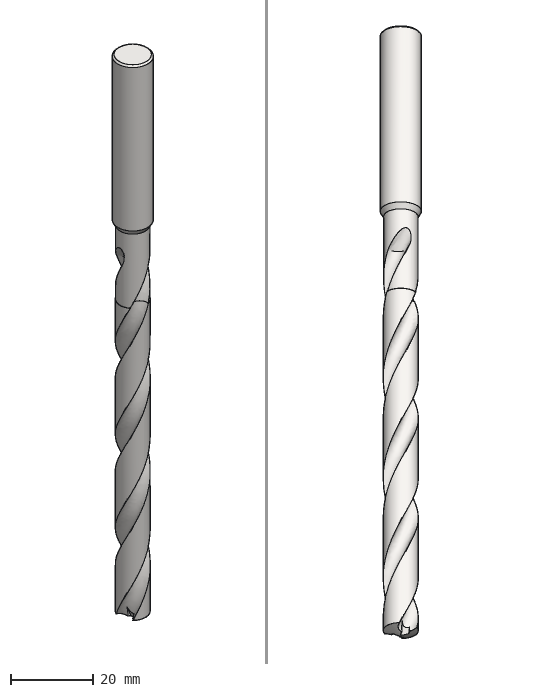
import cadquery as cq
import math

TOTAL_LENGTH = 165.0
JOINT_Z = 93.2
SHANK_START_Z = 115.0

SHANK_RADIUS = 10.0 / 2
HEAD_RADIUS = 8.5 / 2
NECK_RADIUS = 8.4 / 2
SHANK_TOP_CHAMFER = 0.5
SHOULDER_HEIGHT = 1.5

POINT_ANGLE = 140.0
POINT_HEIGHT = HEAD_RADIUS / math.tan(math.radians(POINT_ANGLE / 2))

FLUTE_COUNT = 2
FLUTE_LEAD = 54.8
FLUTE_FRONT_Z = 81.7
FLUTE_RADIUS = 2.5
FLUTE_CENTRE_RADIUS = 3.8
FLUTE_START_Z = -1.6
CUT_OVERLAP = 1.6
FLUTE_END_Z = 104.8
RUNOUT_HEIGHT = 8.2
RUNOUT_TRAVEL = 5.1
RUNOUT_LIFT = 3.3

GASH_X_MIN = -0.2
GASH_X_MAX = 1.8
GASH_HEIGHT = 4.0
GASH_INNER_Y = -0.3
GASH_OUTER_Y = -2.0


def flute_angle(z, index):
    """Angle in degrees about the Z axis of a flute's centre at height z."""
    turn = 360.0 * (z - FLUTE_FRONT_Z) / FLUTE_LEAD
    return -90.0 + turn + 360.0 * index / FLUTE_COUNT


def make_helical_cutter(index, start_z, end_z):
    """Full-depth length of one flute between two heights."""
    length = end_z - start_z
    return (
        cq.Workplane("XY")
        .center(FLUTE_CENTRE_RADIUS, 0)
        .circle(FLUTE_RADIUS)
        .center(-FLUTE_CENTRE_RADIUS, 0)
        .twistExtrude(length, 360.0 * length / FLUTE_LEAD)
        .rotate((0, 0, 0), (0, 0, 1), flute_angle(start_z, index))
        .translate((0, 0, start_z))
    )


def make_runout_cutter(index):
    """Straight exit of one flute, leaning along the turn while lifting outward."""
    return (
        cq.Workplane("XY")
        .center(FLUTE_CENTRE_RADIUS, 0)
        .circle(FLUTE_RADIUS)
        .workplane(offset=RUNOUT_HEIGHT)
        .center(RUNOUT_LIFT, RUNOUT_TRAVEL)
        .circle(FLUTE_RADIUS)
        .loft(ruled=True)
        .rotate((0, 0, 0), (0, 0, 1), flute_angle(FLUTE_END_Z, index))
        .translate((0, 0, FLUTE_END_Z))
    )


def make_gash_cutter(index):
    """Wedge under the flute floor, with a face that slopes outward as it rises."""
    profile = [
        (GASH_INNER_Y, 0),
        (GASH_OUTER_Y, GASH_HEIGHT),
        (-HEAD_RADIUS, GASH_HEIGHT),
        (-HEAD_RADIUS, 0),
    ]
    return (
        cq.Workplane("YZ", origin=(GASH_X_MIN, 0, 0))
        .polyline(profile)
        .close()
        .extrude(GASH_X_MAX - GASH_X_MIN)
        .rotate((0, 0, 0), (0, 0, 1), 360.0 * index / FLUTE_COUNT)
    )


def make_cutting_head():
    """Fluted drill head with a conical point."""
    profile = [
        (0, 0),
        (HEAD_RADIUS, POINT_HEIGHT),
        (HEAD_RADIUS, JOINT_Z),
        (0, JOINT_Z),
    ]
    blank = cq.Workplane("XZ").polyline(profile).close().revolve(360, (0, 0), (0, 1))
    for index in range(FLUTE_COUNT):
        blank = blank.cut(make_helical_cutter(index, FLUTE_START_Z, JOINT_Z + CUT_OVERLAP))
        blank = blank.cut(make_gash_cutter(index))
    return blank


def make_shank():
    """Plain shank with the neck that carries the upper ends of the flutes."""
    profile = [
        (0, JOINT_Z),
        (NECK_RADIUS, JOINT_Z),
        (NECK_RADIUS, SHANK_START_Z),
        (SHANK_RADIUS, SHANK_START_Z + SHOULDER_HEIGHT),
        (SHANK_RADIUS, TOTAL_LENGTH - SHANK_TOP_CHAMFER),
        (SHANK_RADIUS - SHANK_TOP_CHAMFER, TOTAL_LENGTH),
        (0, TOTAL_LENGTH),
    ]
    blank = cq.Workplane("XZ").polyline(profile).close().revolve(360, (0, 0), (0, 1))
    for index in range(FLUTE_COUNT):
        blank = blank.cut(make_helical_cutter(index, JOINT_Z - CUT_OVERLAP, FLUTE_END_Z))
        blank = blank.cut(make_runout_cutter(index))
    return blank


cutting_head = make_cutting_head()
shank = make_shank()

result = cq.Compound.makeCompound([cutting_head.solids().val(), shank.solids().val()])